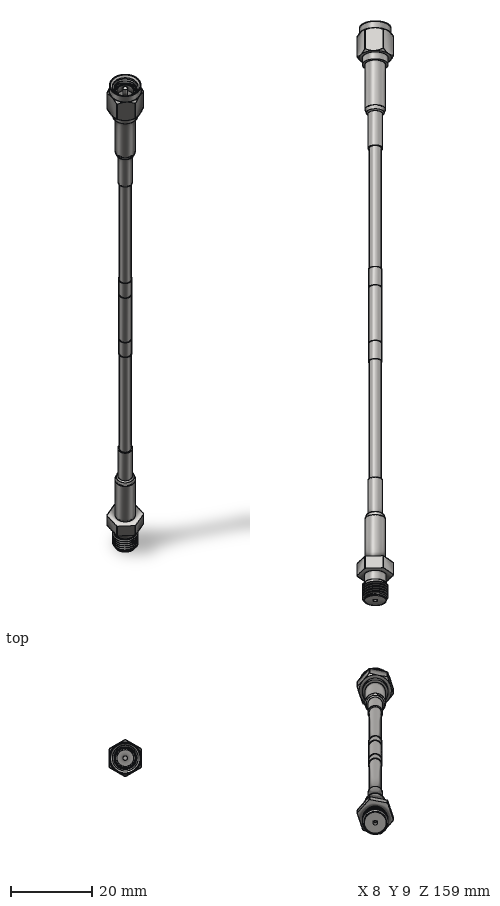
import cadquery as cq
import math

TOTAL_LENGTH = 159.0

HEX_FLATS = 8.0
HEX_CORNER_DIAMETER = 9.0

THREAD_RADIUS = 3.2
THREAD_DEPTH = 0.38
THREAD_PITCH = 0.7
THREAD_SINK = 0.08
THREAD_BASE_WIDTH = 0.6
THREAD_CREST_WIDTH = 0.1
THREAD_ROOT_RADIUS = THREAD_RADIUS - THREAD_DEPTH

NUT_RIM_DIAMETER = 7.8
NUT_RIM_RADIUS = NUT_RIM_DIAMETER / 2
NUT_RIM_LENGTH = 1.9
NUT_HEX_LENGTH = 6.4
NUT_BEVEL_ANGLE = 45.0
NUT_FLOOR = 1.6
NUT_MOUTH_DEPTH = 1.0
NUT_MOUTH_BEVEL = 0.5
NUT_CLEARANCE = 0.2

SOCKET_RADIUS = 2.0
SOCKET_DEPTH = 1.9
CONTACT_RADIUS = 0.55
CONTACT_DEPTH = 2.9

COLLAR_RADIUS = 3.2
COLLAR_LENGTH = 1.9
SHELL_RADIUS = 2.4
SHELL_RECESS = 1.9

TIP_RADIUS = 2.7
TIP_LENGTH = 0.3
NECK_START = 4.6
FEMALE_HEX_START = 7.0
FEMALE_HEX_LENGTH = 3.3

CABLE_DIAMETER = 3.0
CABLE_RADIUS = CABLE_DIAMETER / 2
FERRULE_RADIUS = 2.2
SHRINK_DIAMETER = 5.1
SHRINK_RADIUS = SHRINK_DIAMETER / 2
SHOULDER_RADIUS = 2.2
SLEEVE_DIAMETER = 3.7
SLEEVE_RADIUS = SLEEVE_DIAMETER / 2
TAPER_LENGTH = 1.0
SHOULDER_LENGTH = 0.3
SLEEVE_LENGTH = 9.5
SLEEVE_INSET = 33.4

LABEL_CENTER = 79.2
LABEL_LENGTH = 15.4
BAND_LENGTH = 5.1
LABEL_DIAMETER = 3.3
LABEL_RADIUS = LABEL_DIAMETER / 2

NUT_HEX_TOP = TOTAL_LENGTH - NUT_RIM_LENGTH
NUT_BOTTOM = NUT_HEX_TOP - NUT_HEX_LENGTH
COLLAR_BOTTOM = NUT_BOTTOM - COLLAR_LENGTH
FEMALE_HEX_TOP = FEMALE_HEX_START + FEMALE_HEX_LENGTH
FERRULE_INSET = SLEEVE_INSET - SLEEVE_LENGTH - TAPER_LENGTH - SHOULDER_LENGTH
CABLE_BOTTOM = FERRULE_INSET
CABLE_TOP = TOTAL_LENGTH - FERRULE_INSET


def cylinder(radius, bottom, top):
    return cq.Workplane("XY", origin=(0, 0, bottom)).circle(radius).extrude(top - bottom)


def revolve(points):
    """Turn a closed (radius, z) outline about the Z axis."""
    return cq.Workplane("XZ").polyline(points).close().revolve(360, (0, 0), (0, 1))


def hexagon(bottom, top):
    """Hexagonal prism with corners on the Y axis and its corner edges rounded off."""
    across_corners = HEX_FLATS / math.cos(math.pi / 6)
    prism = (
        cq.Workplane("XY", origin=(0, 0, bottom))
        .transformed(rotate=(0, 0, 90))
        .polygon(6, across_corners)
        .extrude(top - bottom)
    )
    return prism.intersect(cylinder(HEX_CORNER_DIAMETER / 2, bottom, top))


def nut_bevel_envelope():
    """Drum that bevels the corners of the nut's hexagon at both end faces."""
    corner_radius = HEX_CORNER_DIAMETER / 2
    face_radius = HEX_FLATS / 2
    bevel = (corner_radius - face_radius) * math.tan(math.radians(NUT_BEVEL_ANGLE))
    return revolve([
        (0, NUT_BOTTOM),
        (face_radius, NUT_BOTTOM),
        (corner_radius, NUT_BOTTOM + bevel),
        (corner_radius, NUT_HEX_TOP - bevel),
        (face_radius, NUT_HEX_TOP),
        (0, NUT_HEX_TOP),
    ])


def thread_ridge(start, length, base_radius, crest_radius):
    """Helical ridge that rises from a cylinder of base_radius, outward or inward, to its crest."""
    base_half_width = THREAD_BASE_WIDTH / 2
    crest_half_width = THREAD_CREST_WIDTH / 2
    sunk_radius = base_radius + math.copysign(THREAD_SINK, base_radius - crest_radius)
    helix = cq.Workplane(obj=cq.Wire.makeHelix(THREAD_PITCH, length, base_radius))
    ridge = (
        cq.Workplane("XZ")
        .polyline([
            (sunk_radius, -base_half_width),
            (crest_radius, -crest_half_width),
            (crest_radius, crest_half_width),
            (sunk_radius, base_half_width),
        ])
        .close()
        .sweep(helix, isFrenet=True)
    )
    return ridge.translate((0, 0, start))


def make_coupling_nut():
    """Hexagonal nut with a round rim, bored through its floor, beveled at its mouth and threaded inside."""
    bore_floor = NUT_BOTTOM + NUT_FLOOR
    rim = cylinder(NUT_RIM_RADIUS, NUT_HEX_TOP, TOTAL_LENGTH)
    nut = hexagon(NUT_BOTTOM, NUT_HEX_TOP).intersect(nut_bevel_envelope()).union(rim)
    nut = nut.cut(cylinder(SHELL_RADIUS + NUT_CLEARANCE, NUT_BOTTOM, bore_floor))
    nut = nut.cut(cylinder(THREAD_RADIUS, bore_floor, TOTAL_LENGTH))
    nut = nut.cut(revolve([
        (0, TOTAL_LENGTH - NUT_MOUTH_BEVEL),
        (THREAD_RADIUS, TOTAL_LENGTH - NUT_MOUTH_BEVEL),
        (THREAD_RADIUS + NUT_MOUTH_BEVEL, TOTAL_LENGTH),
        (0, TOTAL_LENGTH),
    ]))
    thread_start = bore_floor + THREAD_PITCH / 2
    thread_length = TOTAL_LENGTH - NUT_MOUTH_DEPTH - thread_start
    return nut.union(thread_ridge(thread_start, thread_length, THREAD_RADIUS, THREAD_ROOT_RADIUS))


def make_male_body():
    """Shell with a center pin, a collar under the nut and a ferrule for the shrink tube."""
    shell_top = TOTAL_LENGTH - SHELL_RECESS
    socket_floor = shell_top - SOCKET_DEPTH
    body = cylinder(SHELL_RADIUS, NUT_BOTTOM, shell_top)
    body = body.union(cylinder(COLLAR_RADIUS, COLLAR_BOTTOM, NUT_BOTTOM))
    body = body.union(cylinder(FERRULE_RADIUS, CABLE_TOP, COLLAR_BOTTOM))
    body = body.cut(cylinder(SOCKET_RADIUS, socket_floor, shell_top))
    return body.union(cylinder(CONTACT_RADIUS, socket_floor, socket_floor + CONTACT_DEPTH))


def make_female_body():
    """Threaded barrel with a center contact hole, a hexagon and a ferrule."""
    body = cylinder(TIP_RADIUS, 0, FEMALE_HEX_START)
    body = body.union(cylinder(THREAD_ROOT_RADIUS, TIP_LENGTH, NECK_START))
    thread_start = TIP_LENGTH + THREAD_PITCH / 2
    thread_length = NECK_START - TIP_LENGTH - THREAD_PITCH
    body = body.union(thread_ridge(thread_start, thread_length, THREAD_ROOT_RADIUS, THREAD_RADIUS))
    body = body.union(hexagon(FEMALE_HEX_START, FEMALE_HEX_TOP))
    body = body.union(cylinder(FERRULE_RADIUS, FEMALE_HEX_TOP, CABLE_BOTTOM))
    return body.cut(cylinder(CONTACT_RADIUS, 0, CONTACT_DEPTH))


def make_shrink_tube(start):
    """Tube for the lower end: wide over the ferrule, then a taper, a shoulder and a sleeve on the cable."""
    taper_end = FERRULE_INSET + TAPER_LENGTH
    return revolve([
        (FERRULE_RADIUS, start),
        (SHRINK_RADIUS, start),
        (SHRINK_RADIUS, FERRULE_INSET),
        (SHOULDER_RADIUS, taper_end),
        (SLEEVE_RADIUS, taper_end + SHOULDER_LENGTH),
        (SLEEVE_RADIUS, SLEEVE_INSET),
        (CABLE_RADIUS, SLEEVE_INSET),
        (CABLE_RADIUS, FERRULE_INSET),
        (FERRULE_RADIUS, FERRULE_INSET),
    ])


def make_ring(bottom, length):
    """Thin ring around the cable."""
    ring = cylinder(LABEL_RADIUS, bottom, bottom + length)
    return ring.cut(cylinder(CABLE_RADIUS, bottom, bottom + length))


nut = make_coupling_nut()
male_body = make_male_body()
female_body = make_female_body()
lower_tube = make_shrink_tube(FEMALE_HEX_TOP)

upper_tube = make_shrink_tube(TOTAL_LENGTH - COLLAR_BOTTOM)
upper_tube = upper_tube.mirror("XY").translate((0, 0, TOTAL_LENGTH))

cable = cylinder(CABLE_RADIUS, CABLE_BOTTOM, CABLE_TOP)

label_bottom = LABEL_CENTER - LABEL_LENGTH / 2
label = make_ring(label_bottom, LABEL_LENGTH)
band_bottoms = [label_bottom - BAND_LENGTH, label_bottom + LABEL_LENGTH]
bands = [make_ring(bottom, BAND_LENGTH) for bottom in band_bottoms]

result = cq.Compound.makeCompound([
    nut.val(),
    male_body.val(),
    female_body.val(),
    lower_tube.val(),
    upper_tube.val(),
    cable.val(),
    label.val(),
    *[band.val() for band in bands],
])